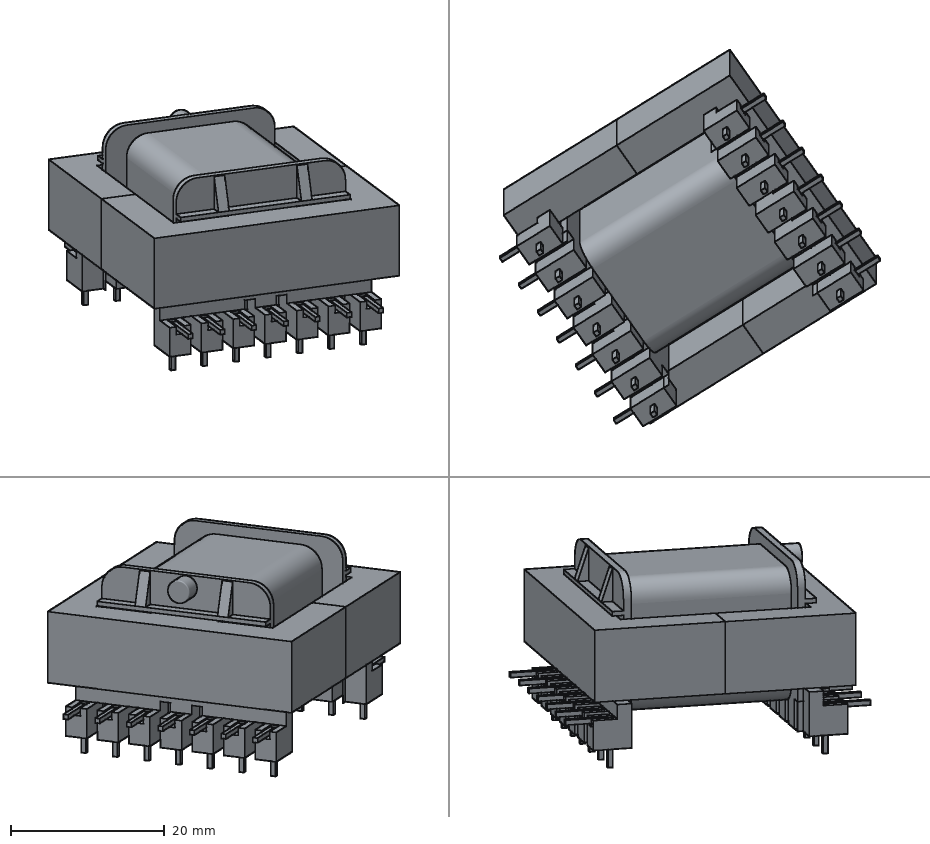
import cadquery as cq
import math


total_length = 41.1
total_height = 24.99

core_length = 35.2
core_width = 34.6
core_height = 9.65
core_leg = 4.8
center_leg_width = 2 * core_leg
mid_z = 11.87

winding_width = 18.0
winding_height = 17.85
winding_radius = 3.0
tunnel_width = 10.2
tunnel_height = 10.4

flange_inner_x = 11.2
flange_outer_x = 12.25
flange_width = 23.9
flange_top = 22.26
flange_radius = 3.0

ledge_outer_x = 13.75
ledge_thickness = 0.6
rib_width = 1.5
rib_top = 22.1
post_radius = 1.55
post_z = 20.6
post_end_x = 14.75
post_edge = 0.15

bar_inner_x = 11.95
bar_outer_x = 13.9
bar_shoulder_z = 5.95
foot_count = 7
foot_width = 3.0
foot_pitch = 4.48
foot_top = 4.0
foot_outer_x = 17.15
tall_gap_top = 5.2

pin_size = 0.65
pin_x = 14.5
pin_tip_x = total_length / 2
pin_tip_z = flange_top - total_height
pin_inner_bend = 0.4
groove_width = 1.1

tunnel_bottom = mid_z - tunnel_height / 2
tunnel_top = mid_z + tunnel_height / 2
ledge_top = tunnel_top + ledge_thickness
foot_gap = foot_pitch - foot_width
foot_row_width = (foot_count - 1) * foot_pitch + foot_width
pin_outer_bend = pin_inner_bend + pin_size
pin_back_x = pin_x - pin_size / 2
groove_floor = foot_top - pin_outer_bend


def block(x0, x1, width, z0, z1, y=0.0):
    """Box from x0 to x1 and z0 to z1, with its width centered on y."""
    return (
        cq.Workplane("XY")
        .box(x1 - x0, width, z1 - z0, centered=(False, True, False))
        .translate((x0, y, z0))
    )


def opposite(shape):
    """The same shape turned half a turn about Z."""
    return shape.rotate((0, 0, 0), (0, 0, 1), 180)


def make_core_half():
    z0 = mid_z - core_height / 2
    z1 = mid_z + core_height / 2
    half_length = core_length / 2
    window_end = half_length - core_leg
    half = block(0, half_length, core_width, z0, z1)
    window = block(0, window_end, core_width - 2 * core_leg, z0, z1)
    center_leg = block(0, window_end, center_leg_width, z0, z1)
    return half.cut(window).union(center_leg)


def make_winding():
    return (
        block(-flange_inner_x, flange_inner_x, winding_width,
              mid_z - winding_height / 2, mid_z + winding_height / 2)
        .edges("|X").fillet(winding_radius)
    )


def make_flange():
    flange = block(flange_inner_x, flange_outer_x, flange_width, 0, flange_top)
    return flange.edges("|X and >Z").fillet(flange_radius)


def make_rib(y):
    """Triangular rib standing on the ledge and leaning on the flange."""
    return (
        cq.Workplane("XZ")
        .moveTo(flange_outer_x, ledge_top)
        .lineTo(ledge_outer_x, ledge_top)
        .lineTo(flange_outer_x, rib_top)
        .close()
        .extrude(rib_width / 2, both=True)
        .translate((0, y, 0))
    )


def make_pin(y):
    """Square wire bent from the level tail down to the solder leg."""
    bend_x = pin_back_x + pin_outer_bend
    diagonal = math.sqrt(0.5)
    outer_mid = (bend_x - pin_outer_bend * diagonal, groove_floor + pin_outer_bend * diagonal)
    inner_mid = (bend_x - pin_inner_bend * diagonal, groove_floor + pin_inner_bend * diagonal)
    return (
        cq.Workplane("XZ")
        .moveTo(pin_tip_x, foot_top)
        .lineTo(bend_x, foot_top)
        .threePointArc(outer_mid, (pin_back_x, groove_floor))
        .lineTo(pin_back_x, pin_tip_z)
        .lineTo(pin_back_x + pin_size, pin_tip_z)
        .lineTo(pin_back_x + pin_size, groove_floor)
        .threePointArc(inner_mid, (bend_x, foot_top - pin_size))
        .lineTo(pin_tip_x, foot_top - pin_size)
        .close()
        .extrude(pin_size / 2, both=True)
        .translate((0, y, 0))
    )


def make_bobbin_end():
    """Flange with ledge, ribs, foot row and pins at the +X end."""
    end = make_flange()
    end = end.union(block(flange_outer_x, ledge_outer_x, flange_width, tunnel_top, ledge_top))
    for side in (-1, 1):
        end = end.union(make_rib(side * (tunnel_width + rib_width) / 2))

    end = end.union(block(bar_inner_x, bar_outer_x, flange_width, foot_top, tunnel_bottom))
    end = end.union(block(bar_inner_x, bar_outer_x, foot_row_width, foot_top, bar_shoulder_z))
    end = end.union(block(bar_inner_x, foot_outer_x, foot_row_width, 0, foot_top))

    gap_count = foot_count - 1
    for i in range(gap_count):
        gap_y = (i - (gap_count - 1) / 2) * foot_pitch
        beside_middle = abs(gap_y) < foot_pitch
        gap_top = tall_gap_top if beside_middle else foot_top
        end = end.cut(block(flange_inner_x, foot_outer_x, foot_gap, 0, gap_top, gap_y))

    for i in range(foot_count):
        foot_y = (i - (foot_count - 1) / 2) * foot_pitch
        end = end.cut(block(pin_back_x, foot_outer_x, groove_width, groove_floor, foot_top, foot_y))
        end = end.union(make_pin(foot_y))
    return end


def make_post():
    """Round marker post on the flange at the -X end."""
    return (
        cq.Workplane("YZ", origin=(-post_end_x, 0, post_z))
        .circle(post_radius)
        .extrude(post_end_x - flange_outer_x)
        .faces("<X").edges().fillet(post_edge)
    )


def make_bobbin():
    end = make_bobbin_end()
    bobbin = make_winding().union(end).union(opposite(end)).union(make_post())
    tunnel = block(-flange_outer_x, flange_outer_x, tunnel_width, tunnel_bottom, tunnel_top)
    return bobbin.cut(tunnel)


bobbin = make_bobbin()
core_right = make_core_half()
core_left = opposite(core_right)

result = cq.Compound.makeCompound([bobbin.val(), core_right.val(), core_left.val()])